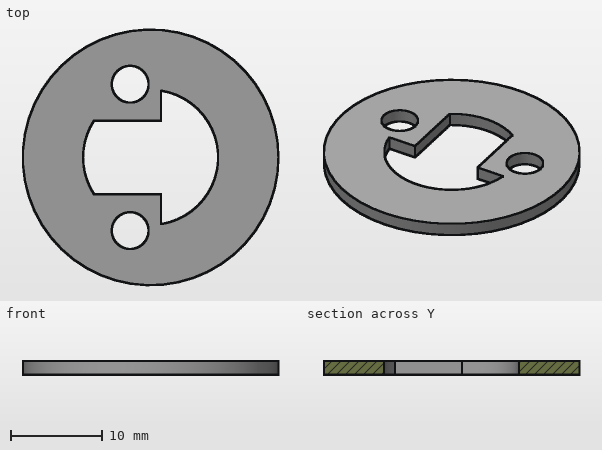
import cadquery as cq

disc_diameter = 28
thickness = 1.5
bore_diameter = 14.75
slot_width = 8.0
tab_edge_x = 1.15
hole_diameter = 4.0
hole_x = -2.25
hole_spacing = 16.02

bore_radius = bore_diameter / 2


def centred_block(x_start, x_end, width):
    """Block as thick as the disc, spanning x_start to x_end and centred on Y."""
    return (
        cq.Workplane("XY")
        .center((x_start + x_end) / 2, 0)
        .rect(x_end - x_start, width)
        .extrude(thickness)
    )


def keyed_opening():
    """Round bore, full to the right of the tabs and narrowed to a slot between them."""
    bore = cq.Workplane("XY").circle(bore_radius).extrude(thickness)
    slot = centred_block(-bore_radius, tab_edge_x, slot_width)
    open_side = centred_block(tab_edge_x, bore_radius, bore_diameter)
    return bore.intersect(slot.union(open_side))


disc = cq.Workplane("XY").circle(disc_diameter / 2).extrude(thickness)

holes = (
    cq.Workplane("XY")
    .pushPoints([(hole_x, side * hole_spacing / 2) for side in (-1, 1)])
    .circle(hole_diameter / 2)
    .extrude(thickness)
)

result = disc.cut(keyed_opening()).cut(holes)